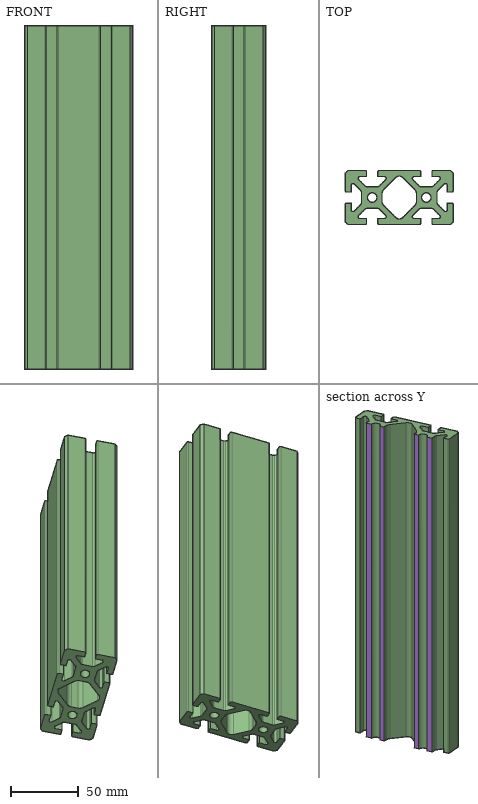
import cadquery as cq

length = 254.0
width = 80.0
module = width / 2
corner_chamfer = 2.0

mouth_width = 8.1
mouth_radius = 1.0
lip_thickness = 4.5
slot_depth = 12.0
throat_radius = 1.3
floor_radius = 2.0
floor_width = 9.5

bore_diameter = 6.9
core_x = module / 2

cavity_half_diagonal = 17.3
cavity_half_width = 12.7
cavity_apex_radius = 3.5
cavity_side_radius = 5.0


def make_bar():
    """Solid rectangular bar with bevelled long edges, standing on Z = 0."""
    bar = cq.Workplane("XY").rect(width, module).extrude(length)
    return bar.edges("|Z").chamfer(corner_chamfer)


def make_slot():
    """T-slot cut downwards from an outer face that lies on Y = 0, facing +Y."""
    floor_half = floor_width / 2
    tip_half = floor_half + slot_depth - lip_thickness
    throat = (
        cq.Workplane("XY")
        .polyline([
            (-tip_half, -lip_thickness),
            (tip_half, -lip_thickness),
            (floor_half, -slot_depth),
            (-floor_half, -slot_depth),
        ])
        .close()
        .extrude(length)
        .edges("|Z and (>X or <X)")
        .fillet(throat_radius)
        .edges("|Z and <Y")
        .fillet(floor_radius)
    )
    mouth_half = mouth_width / 2
    entry_half = mouth_half + mouth_radius
    mouth = (
        cq.Workplane("XY")
        .moveTo(-entry_half, 0)
        .lineTo(entry_half, 0)
        .radiusArc((mouth_half, -mouth_radius), -mouth_radius)
        .lineTo(mouth_half, -lip_thickness)
        .lineTo(-mouth_half, -lip_thickness)
        .lineTo(-mouth_half, -mouth_radius)
        .radiusArc((-entry_half, 0), -mouth_radius)
        .close()
        .extrude(length)
    )
    return throat.union(mouth)


def place_slot(slot, side, angle):
    """Move a slot onto an outer face of the module at side +1 or -1, turned about its centre."""
    on_face = slot.translate((0, module / 2, 0))
    return on_face.rotate((0, 0, 0), (0, 0, 1), angle).translate((side * core_x, 0, 0))


def make_bores():
    """Two through bores, one on each module centre."""
    centres = [(-core_x, 0), (core_x, 0)]
    return cq.Workplane("XY").pushPoints(centres).circle(bore_diameter / 2).extrude(length)


def make_cavity():
    """Through cavity: a 45-degree diamond with flattened ends in X and every corner rounded."""
    tip = cavity_half_diagonal
    side = cavity_half_width
    shoulder = tip - side
    return (
        cq.Workplane("XY")
        .polyline([
            (0, tip),
            (side, shoulder),
            (side, -shoulder),
            (0, -tip),
            (-side, -shoulder),
            (-side, shoulder),
        ])
        .close()
        .extrude(length)
        .edges("|Z and (>X or <X)")
        .fillet(cavity_side_radius)
        .edges("|Z and (>Y or <Y)")
        .fillet(cavity_apex_radius)
    )


result = make_bar().cut(make_bores()).cut(make_cavity())
slot = make_slot()
for side in (-1, 1):
    end_angle = -90 * side
    for face_angle in (0, 180, end_angle):
        result = result.cut(place_slot(slot, side, face_angle))